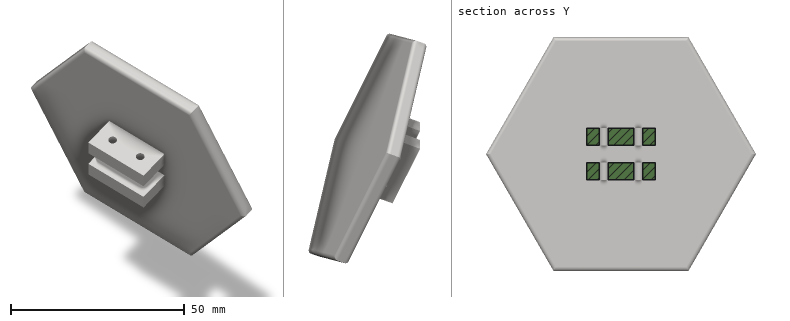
import cadquery as cq

plate_width = 77.95
plate_thickness = 4.45
edge_radius = 1.2

lug_width = 20.0
lug_depth = 10.0
lug_thickness = 5.0
lug_gap = 5.0
lug_offset = (lug_gap + lug_thickness) / 2

hole_diameter = 2.5
hole_spacing = lug_width / 2


def make_plate():
    """Hexagon from Y = 0 to +Y, with both face outlines rounded."""
    plate = cq.Workplane("XZ").polygon(6, plate_width).extrude(-plate_thickness)
    return plate.faces("<Y or >Y").edges().fillet(edge_radius)


def make_lug(center_z):
    """Rectangular lug standing out from the plate towards -Y."""
    return (
        cq.Workplane("XZ")
        .center(0, center_z)
        .rect(lug_width, lug_thickness)
        .extrude(lug_depth)
    )


def make_pin_holes():
    """Two vertical cylinders, long enough to pass through both lugs."""
    hole_length = lug_gap + 2 * lug_thickness
    return (
        cq.Workplane("XY")
        .pushPoints([(side * hole_spacing / 2, -lug_depth / 2) for side in (-1, 1)])
        .circle(hole_diameter / 2)
        .extrude(hole_length / 2, both=True)
    )


result = make_plate()
for side in (-1, 1):
    result = result.union(make_lug(side * lug_offset))
result = result.cut(make_pin_holes())